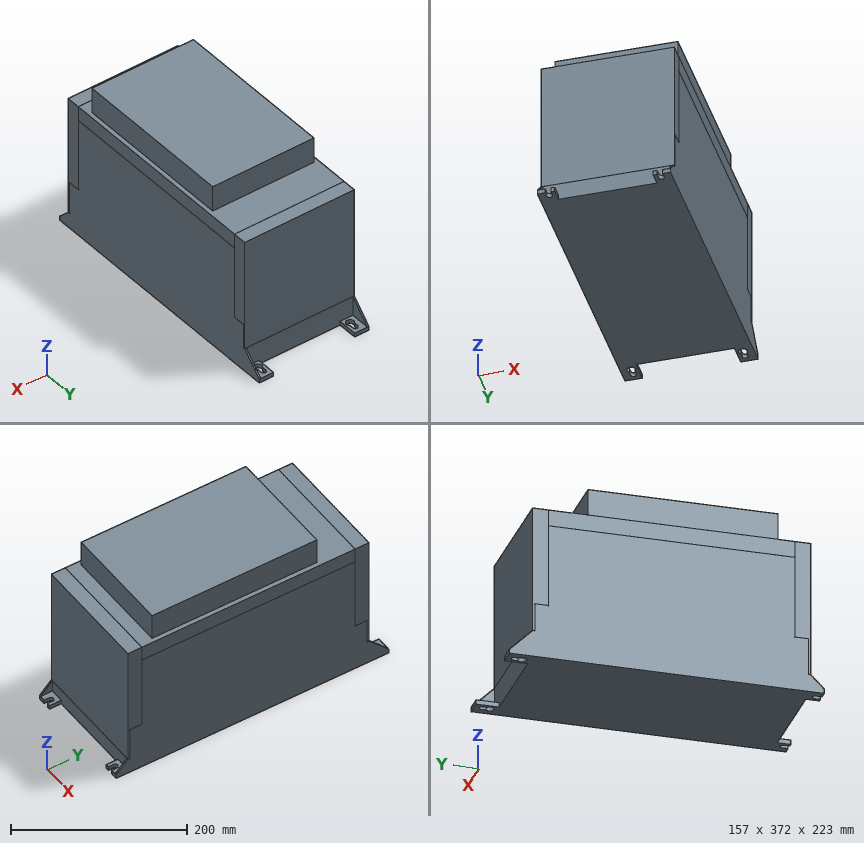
import cadquery as cq

WIDTH = 157.0
LENGTH = 372.0
ENCLOSURE_HEIGHT = 187.5
FRONT_END = -LENGTH / 2
REAR_END = LENGTH / 2

FRONT_FACE = -170.0
REAR_FACE = 159.0
COVER_DEPTH = 19.0
SKIRT_THICKNESS = 2.5
COVER_STEP_Z = 66.5
FRONT_SKIRT_Z = 21.5
REAR_SKIRT_Z = 32.7

LID_HEIGHT = 20.0
LID_FRONT = FRONT_FACE + COVER_DEPTH
LID_REAR = REAR_FACE - COVER_DEPTH
LID_BOTTOM_Z = ENCLOSURE_HEIGHT - LID_HEIGHT

BLOCK_WIDTH = 145.0
BLOCK_HEIGHT = 35.5
BLOCK_FRONT = -133.0
BLOCK_REAR = 91.5

FOOT_WIDTH = 20.5
FOOT_THICKNESS = 5.5
GUSSET_THICKNESS = 2.2

HOLE_EDGE_DISTANCE = 12.5
HOLE_X = WIDTH / 2 - HOLE_EDGE_DISTANCE
SLOT_WIDTH = 6.7
SLOT_RADIUS = SLOT_WIDTH / 2
FRONT_SLOT_DEPTH = 7.0
KEYHOLE_SLOT_INSET = 9.0
KEYHOLE_HEAD_INSET = 18.5
KEYHOLE_HEAD_DIAMETER = 10.5


def box_between(x_range, y_range, z_range):
    """Box filling the given ranges along X, Y and Z."""
    sizes = [high - low for low, high in (x_range, y_range, z_range)]
    return cq.Workplane("XY").box(*sizes, centered=False).translate((x_range[0], y_range[0], z_range[0]))


def extrude_across(profile, width):
    """Extrude a (Y, Z) outline by the width, centred on X = 0."""
    return cq.Workplane("YZ").polyline(profile).close().extrude(width / 2, both=True)


def end_cover(face_y, inward, skirt_z):
    """End cover whose outer face is at face_y; inward is +1 or -1 along Y."""
    skirt_y = face_y + inward * SKIRT_THICKNESS
    inner_y = face_y + inward * COVER_DEPTH
    profile = [
        (face_y, skirt_z),
        (face_y, ENCLOSURE_HEIGHT),
        (inner_y, ENCLOSURE_HEIGHT),
        (inner_y, COVER_STEP_Z),
        (skirt_y, COVER_STEP_Z),
        (skirt_y, skirt_z),
    ]
    return extrude_across(profile, WIDTH)


def slot_cutter(x, y_range):
    """Round-ended slot; y_range holds the centres of its two ends."""
    y_start, y_end = y_range
    span = y_end - y_start
    return (
        cq.Workplane("XY")
        .center(x, (y_start + y_end) / 2)
        .slot2D(span + SLOT_WIDTH, SLOT_WIDTH, 90)
        .extrude(FOOT_THICKNESS)
    )


def keyhole_cutter(x):
    """Narrow slot running into a wide round opening."""
    head_y = REAR_END - KEYHOLE_HEAD_INSET
    slot = slot_cutter(x, (head_y, REAR_END - KEYHOLE_SLOT_INSET))
    head = cq.Workplane("XY").center(x, head_y).circle(KEYHOLE_HEAD_DIAMETER / 2).extrude(FOOT_THICKNESS)
    return slot.union(head)


def chassis_core():
    """Main body under the lid, stepped to fit the two end covers."""
    front_wall = FRONT_FACE + SKIRT_THICKNESS
    rear_wall = REAR_FACE - SKIRT_THICKNESS
    profile = [
        (FRONT_FACE, 0),
        (FRONT_FACE, FRONT_SKIRT_Z),
        (front_wall, FRONT_SKIRT_Z),
        (front_wall, COVER_STEP_Z),
        (LID_FRONT, COVER_STEP_Z),
        (LID_FRONT, LID_BOTTOM_Z),
        (LID_REAR, LID_BOTTOM_Z),
        (LID_REAR, COVER_STEP_Z),
        (rear_wall, COVER_STEP_Z),
        (rear_wall, REAR_SKIRT_Z),
        (REAR_FACE, REAR_SKIRT_Z),
        (REAR_FACE, 0),
    ]
    return extrude_across(profile, WIDTH)


def gusset_plate():
    """Side plate with sloped ends, placed against X = 0 and growing in +X."""
    profile = [
        (FRONT_END, 0),
        (FRONT_END, FOOT_THICKNESS),
        (FRONT_FACE, FRONT_SKIRT_Z),
        (LID_FRONT, FRONT_SKIRT_Z),
        (REAR_FACE, REAR_SKIRT_Z),
        (REAR_END, FOOT_THICKNESS),
        (REAR_END, 0),
    ]
    return cq.Workplane("YZ").polyline(profile).close().extrude(GUSSET_THICKNESS)


def make_chassis():
    """Main body with feet and gussets along both sides."""
    body = chassis_core()
    for left_x in (-WIDTH / 2, WIDTH / 2 - FOOT_WIDTH):
        foot_strip = box_between((left_x, left_x + FOOT_WIDTH), (FRONT_END, REAR_END), (0, FOOT_THICKNESS))
        body = body.union(foot_strip)
    for left_x in (-WIDTH / 2, WIDTH / 2 - GUSSET_THICKNESS):
        body = body.union(gusset_plate().translate((left_x, 0, 0)))
    for x in (-HOLE_X, HOLE_X):
        open_slot = slot_cutter(x, (FRONT_END - SLOT_WIDTH, FRONT_END + FRONT_SLOT_DEPTH))
        body = body.cut(open_slot).cut(keyhole_cutter(x))
    return body


chassis = make_chassis()
front_cover = end_cover(FRONT_FACE, 1, FRONT_SKIRT_Z)
rear_cover = end_cover(REAR_FACE, -1, REAR_SKIRT_Z)
lid = box_between(
    (-WIDTH / 2, WIDTH / 2),
    (LID_FRONT, LID_REAR),
    (LID_BOTTOM_Z, ENCLOSURE_HEIGHT),
)
top_block = box_between(
    (-BLOCK_WIDTH / 2, BLOCK_WIDTH / 2),
    (BLOCK_FRONT, BLOCK_REAR),
    (ENCLOSURE_HEIGHT, ENCLOSURE_HEIGHT + BLOCK_HEIGHT),
)

result = cq.Compound.makeCompound(
    [chassis.val(), front_cover.val(), rear_cover.val(), lid.val(), top_block.val()]
)